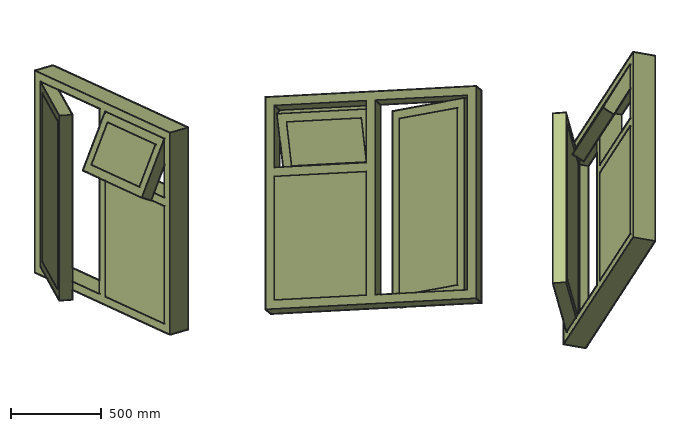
import cadquery as cq

frame_side = 1200.0
frame_depth = 130.0
member_width = 50.0
opening_width = (frame_side - 3 * member_width) / 2
opening_height = frame_side - 2 * member_width
awning_height = 350.0
fixed_height = opening_height - awning_height - member_width

sash_thickness = 75.0
sash_border = 49.0
opening_angle = 27.0

left_x = member_width
right_x = left_x + opening_width + member_width
bottom_z = member_width
top_z = frame_side - member_width
awning_z = top_z - awning_height


def make_block(x, z, width, depth, height):
    """Block with its front face at Y = 0 and its lower left corner at (x, z)."""
    return cq.Workplane("XY").box(width, depth, height, centered=False).translate((x, 0, z))


def make_glass(x, z, width, height):
    """Sash glass in the closed position, inset by the sash border."""
    return make_block(
        x + sash_border,
        z + sash_border,
        width - 2 * sash_border,
        sash_thickness,
        height - 2 * sash_border,
    )


def make_sash(x, z, width, height):
    """Sash ring in the closed position, filling an opening."""
    return make_block(x, z, width, sash_thickness, height).cut(make_glass(x, z, width, height))


def swing_casement(body):
    """Swing outward about the vertical hinge on the left front edge of the opening."""
    return body.rotate((left_x, 0, 0), (left_x, 0, 1), -opening_angle)


def swing_awning(body):
    """Swing outward about the horizontal hinge on the top front edge of the opening."""
    return body.rotate((0, 0, top_z), (1, 0, top_z), -opening_angle)


casement_opening = (left_x, bottom_z, opening_width, opening_height)
awning_opening = (right_x, awning_z, opening_width, awning_height)
fixed_opening = (right_x, bottom_z, opening_width, fixed_height)

frame = make_block(0, 0, frame_side, frame_depth, frame_side)
for x, z, width, height in (casement_opening, awning_opening, fixed_opening):
    frame = frame.cut(make_block(x, z, width, frame_depth, height))

fixed_x, fixed_z, fixed_width, fixed_glass_height = fixed_opening
fixed_glass = make_block(fixed_x, fixed_z, fixed_width, frame_depth, fixed_glass_height)

casement_sash = swing_casement(make_sash(*casement_opening))
casement_glass = swing_casement(make_glass(*casement_opening))

awning_sash = swing_awning(make_sash(*awning_opening))
awning_glass = swing_awning(make_glass(*awning_opening))

result = cq.Compound.makeCompound(
    [
        frame.val(),
        fixed_glass.val(),
        casement_sash.val(),
        casement_glass.val(),
        awning_sash.val(),
        awning_glass.val(),
    ]
)